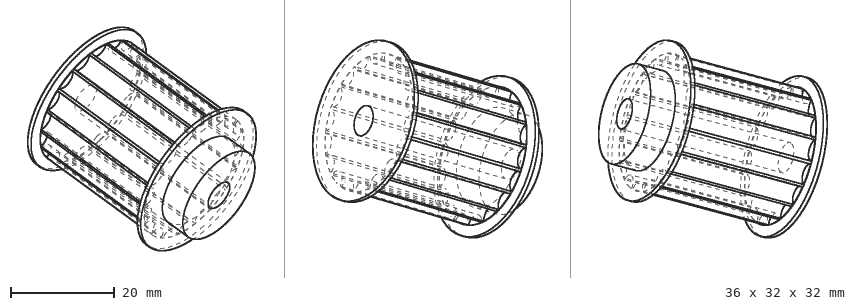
import cadquery as cq
import math

total_length = 36.0
flange_diameter = 32.0
hub_diameter = 20.0
bore_diameter = 6.0

flanged_length = 30.5
rim_width = 0.9
cone_width = 0.4
cone_angle = 8
flange_width = rim_width + cone_width

tooth_count = 18
drum_diameter = 27.58
groove_mouth = 4.2
groove_depth = 2.0

flange_radius = flange_diameter / 2
drum_radius = drum_diameter / 2
cone_root_radius = flange_radius - cone_width / math.tan(math.radians(cone_angle))


def make_flange():
    """Flange disc with its outer face at X = 0 and its cone toward +X."""
    return (
        cq.Workplane("XY")
        .lineTo(0, flange_radius)
        .lineTo(rim_width, flange_radius)
        .lineTo(flange_width, cone_root_radius)
        .lineTo(flange_width, 0)
        .close()
        .revolve(360, (0, 0, 0), (1, 0, 0))
    )


def make_cylinder(start_x, end_x, diameter):
    """Solid cylinder on the pulley axis."""
    return cq.Workplane("YZ", origin=(start_x, 0, 0)).circle(diameter / 2).extrude(end_x - start_x)


def make_groove_cutter():
    """Round-bottomed groove on the -Y side, running between the flanges."""
    half_mouth = groove_mouth / 2
    mouth_y = -math.sqrt(drum_radius**2 - half_mouth**2)
    bottom_y = groove_depth - drum_radius
    return (
        cq.Workplane("YZ", origin=(flange_width, 0, 0))
        .moveTo(mouth_y, -half_mouth)
        .threePointArc((bottom_y, 0), (mouth_y, half_mouth))
        .threePointArc((-drum_radius, 0), (mouth_y, -half_mouth))
        .close()
        .extrude(flanged_length - 2 * flange_width)
    )


def cut_grooves(body):
    """Cut the evenly spaced tooth grooves around the drum."""
    cutter = make_groove_cutter()
    for index in range(tooth_count):
        angle = index * 360 / tooth_count
        body = body.cut(cutter.rotate((0, 0, 0), (1, 0, 0), angle))
    return body


drum = cut_grooves(make_cylinder(rim_width, flanged_length - rim_width, drum_diameter))
hub = make_cylinder(flanged_length - flange_width, total_length, hub_diameter)
bore = make_cylinder(0, total_length, bore_diameter)

left_flange = make_flange()
right_flange = left_flange.mirror("YZ").translate((flanged_length, 0, 0))

result = drum.union(left_flange).union(right_flange).union(hub).cut(bore)